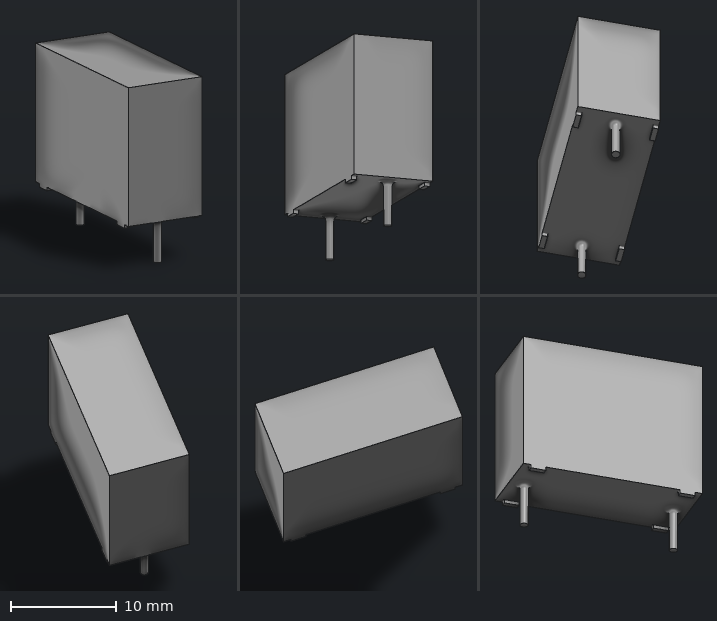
import cadquery as cq

body_length = 18.0
body_width = 8.0
seated_height = 14.0
standoff_height = 0.35

pin_pitch = 15.0
pin_diameter = 0.8
pin_length = 4.0
flare_radius = 0.6

foot_length = 1.5
foot_width = 0.55
foot_fillet = 0.1

pin_radius = pin_diameter / 2
half_foot = foot_length / 2
foot_offset = (body_width - foot_width) / 2
pin_positions = (-pin_pitch / 2, pin_pitch / 2)


def make_body():
    """Plain rectangular case, raised above the seating plane by the feet."""
    body_height = seated_height - standoff_height
    return (
        cq.Workplane("XY")
        .workplane(offset=standoff_height)
        .rect(body_length, body_width)
        .extrude(body_height)
    )


def make_foot(x, y):
    """Rectangular foot whose two ends blend into the case with small concave fillets."""
    flared_half = half_foot + foot_fillet
    fillet_start = standoff_height - foot_fillet
    return (
        cq.Workplane("XZ", origin=(x, y, 0))
        .moveTo(-half_foot, 0)
        .lineTo(half_foot, 0)
        .lineTo(half_foot, fillet_start)
        .radiusArc((flared_half, standoff_height), foot_fillet)
        .lineTo(-flared_half, standoff_height)
        .radiusArc((-half_foot, fillet_start), foot_fillet)
        .close()
        .extrude(foot_width / 2, both=True)
    )


def make_pin(x):
    """Round pin with a concave flare where it leaves the underside of the case."""
    flare_start = standoff_height - flare_radius
    return (
        cq.Workplane("XZ", origin=(x, 0, 0))
        .moveTo(0, -pin_length)
        .lineTo(pin_radius, -pin_length)
        .lineTo(pin_radius, flare_start)
        .radiusArc((pin_radius + flare_radius, standoff_height), flare_radius)
        .lineTo(0, standoff_height)
        .close()
        .revolve(360, (0, 0, 0), (0, 1, 0))
    )


result = make_body()
for pin_x in pin_positions:
    result = result.union(make_pin(pin_x))
    for foot_y in (-foot_offset, foot_offset):
        result = result.union(make_foot(pin_x, foot_y))